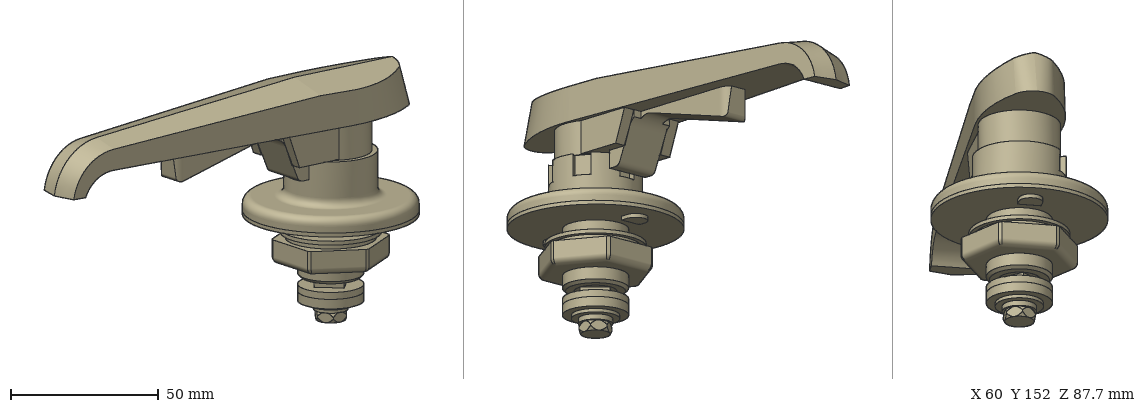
import cadquery as cq
import math


RIDGE_Z = 50.6
HANDLE_UNDERSIDE_Z = 34.5
TIP_Z = 26.8
BOSS_TOP_Z = 22.5
SLOT_FLOOR_Z = 14.7
FLANGE_TOP_Z = 6.5
GASKET_TOP_Z = 1.4
WASHER_TOP_Z = -5.0
COLLAR_TOP_Z = -6.4
NUT_TOP_Z = -8.2
NUT_BOTTOM_Z = -16.5
SLEEVE_BOTTOM_Z = -21.9
UPPER_DISC_TOP_Z = -24.6
LOWER_DISC_TOP_Z = -27.0
SCREW_TOP_Z = -30.4
SCREW_RIM_BOTTOM_Z = -31.6
HEX_TOP_Z = -33.5
HEX_BOTTOM_Z = -37.1

HANDLE_LENGTH = 152.0
HANDLE_BACK_Y = 31.9
HANDLE_TIP_Y = HANDLE_BACK_Y - HANDLE_LENGTH
TIP_HALF_WIDTH = 7.9
SIDE_TAPER = 0.059
BACK_LEAN = 5.2
NOSE_HALF_WIDTH = 6.7
LOWER_NOSE_Y = 28.3
UPPER_NOSE_Y = 24.0
LOWER_SHOULDER_Y = -2.6
UPPER_SHOULDER_Y = -3.5
ROOF_SLOPE = 0.25
ROOF_WIDTH = 22.8
ROOF_DEPTH = 19.0
RIDGE_BEND_Y = -15.8
TIP_BEND_Y = -101.7
RIDGE_FALL = 0.075
TIP_BEND_Z = RIDGE_Z - RIDGE_FALL * (RIDGE_BEND_Y - TIP_BEND_Y)
FALL_ANGLE = math.atan(RIDGE_FALL)
TIP_INNER_Y = -113.1
NECK_RADIUS = 14.0
CHEEK_HALF_WIDTH = 12.5
CHEEK_CLEARANCE = 0.3
CHEEK_TOP_Y = -28.0
CHEEK_BOTTOM_Y = -23.5
SPINDLE_RADIUS = 14.5 / 2

HOOK_HALF_WIDTH = 8.2
HOOK_BOTTOM_Z = 16.4
HOOK_FRONT = (-20.4, HOOK_BOTTOM_Z)
HOOK_ROUND = 2.5
TRIGGER_NOTCH = (-28.1, 34.2)
NOTCH_ROUND = 6.1
BUTTON_HALF_WIDTH = 5.0
BUTTON_TOP_Y = -71.3
BUTTON_BOTTOM = (-70.2, 23.5)
BUTTON_BOTTOM_ROUND = 1.5
BUTTON_ROUND_Y = -67.3

FLANGE_RADIUS = 60.0 / 2
FLANGE_ROUND = 3.0
BOSS_RADIUS = 16.0
BOSS_ROUND = 3.0
SLEEVE_RADIUS = 11.2
SLEEVE_CHAMFER = 1.0
SLOT_WIDTH = 6.4
SLOT_DEPTH = 2.6
SLOT_ANGLES = (150, 210, 270)

LUG_HALF_WIDTH = 4.1
LUG_INNER_Y = 17.5
LUG_CENTRE_Y = 20.0
LUG_HEIGHT = 1.4

WASHER_RADIUS = 17.2
COLLAR_RADIUS = 15.5
NUT_ACROSS_FLATS = 35.3
NUT_EDGE_CHAMFER = 0.8
NUT_BOTTOM_ROUND = 2.3
DISC_RADIUS = 11.2
SCREW_RIM_RADIUS = 8.2
SCREW_NECK_RADIUS = 11.7 / 2
HEX_ACROSS_FLATS = 10.0
HEX_TURN = 30
HEX_TURNED_RADIUS = 5.0
HEX_TURNED_HEIGHT = 1.7


def cylinder(radius, bottom, top):
    return cq.Workplane("XY", origin=(0, 0, bottom)).circle(radius).extrude(top - bottom)


def ring(outer_radius, inner_radius, bottom, top):
    sketch = cq.Workplane("XY", origin=(0, 0, bottom)).circle(outer_radius).circle(inner_radius)
    return sketch.extrude(top - bottom)


def hexagon_prism(across_flats, bottom, top):
    across_corners = across_flats / math.cos(math.radians(30))
    return cq.Workplane("XY", origin=(0, 0, bottom)).polygon(6, across_corners).extrude(top - bottom)


def square_spindle(bottom, top):
    """Square bar with its corners on the X and Y axes, on the spindle's radius."""
    return cq.Workplane("XY", origin=(0, 0, bottom)).polygon(4, 2 * SPINDLE_RADIUS).extrude(top - bottom)


def half_width(y):
    return TIP_HALF_WIDTH + SIDE_TAPER * (y - HANDLE_TIP_Y)


def half_plan(workplane, back_y, nose_y, shoulder_y):
    """Right half of the handle seen in plan: tapered side, curved flank and round back end."""
    sagitta = back_y - nose_y
    nose_radius = (NOSE_HALF_WIDTH**2 + sagitta**2) / (2 * sagitta)
    half_angle = math.asin(NOSE_HALF_WIDTH / nose_radius) / 2
    nose_middle = (
        nose_radius * math.sin(half_angle),
        back_y - nose_radius * (1 - math.cos(half_angle)),
    )
    return (
        workplane.moveTo(0, HANDLE_TIP_Y)
        .lineTo(TIP_HALF_WIDTH, HANDLE_TIP_Y)
        .lineTo(half_width(shoulder_y), shoulder_y)
        .tangentArcPoint((NOSE_HALF_WIDTH, nose_y), relative=False)
        .threePointArc(nose_middle, (0, back_y))
        .close()
    )


def make_half_plan_solid():
    """Half of the handle's plan, from the tip up to the ridge, leaning forward at the back."""
    lower = half_plan(
        cq.Workplane("XY", origin=(0, 0, HANDLE_UNDERSIDE_Z)),
        back_y=HANDLE_BACK_Y, nose_y=LOWER_NOSE_Y, shoulder_y=LOWER_SHOULDER_Y,
    )
    upper = half_plan(
        lower.workplane(offset=RIDGE_Z - HANDLE_UNDERSIDE_Z),
        back_y=HANDLE_BACK_Y - BACK_LEAN, nose_y=UPPER_NOSE_Y, shoulder_y=UPPER_SHOULDER_Y,
    )
    body = upper.loft(ruled=True, combine=True)
    tip = (
        cq.Workplane("XY", origin=(0, 0, TIP_Z))
        .polyline([
            (0, HANDLE_TIP_Y),
            (TIP_HALF_WIDTH, HANDLE_TIP_Y),
            (half_width(TIP_BEND_Y), TIP_BEND_Y),
            (0, TIP_BEND_Y),
        ])
        .close()
        .extrude(HANDLE_UNDERSIDE_Z - TIP_Z)
    )
    return body.union(tip)


def tip_arc():
    """Centre and radius of the arc that leaves the falling ridge smoothly and ends at the tip."""
    chord_y = TIP_BEND_Y - HANDLE_TIP_Y
    chord_z = TIP_BEND_Z - TIP_Z
    reach = chord_z * math.cos(FALL_ANGLE) - chord_y * math.sin(FALL_ANGLE)
    radius = (chord_y**2 + chord_z**2) / (2 * reach)
    centre_y = TIP_BEND_Y + radius * math.sin(FALL_ANGLE)
    centre_z = TIP_BEND_Z - radius * math.cos(FALL_ANGLE)
    return centre_y, centre_z, radius


def make_side_profile():
    """Side shape of the handle, from flat underside to curled tip, wider than the handle."""
    drop = HANDLE_UNDERSIDE_Z - TIP_Z
    reach = TIP_BEND_Y - TIP_INNER_Y
    inner_radius = (drop**2 + reach**2) / (2 * drop)
    half_angle = math.asin(reach / inner_radius) / 2
    inner_middle = (
        TIP_BEND_Y - inner_radius * math.sin(half_angle),
        HANDLE_UNDERSIDE_Z - inner_radius * (1 - math.cos(half_angle)),
    )
    return (
        cq.Workplane("YZ")
        .moveTo(HANDLE_BACK_Y, HANDLE_UNDERSIDE_Z)
        .lineTo(TIP_BEND_Y, HANDLE_UNDERSIDE_Z)
        .threePointArc(inner_middle, (TIP_INNER_Y, TIP_Z))
        .lineTo(HANDLE_TIP_Y, TIP_Z)
        .lineTo(HANDLE_TIP_Y, RIDGE_Z)
        .lineTo(HANDLE_BACK_Y, RIDGE_Z)
        .close()
        .extrude(ROOF_WIDTH)
    )


def make_half_roof():
    """Sloping half roof that follows the ridge: level, falling, then curled down at the tip."""
    centre_y, centre_z, radius = tip_arc()
    end_angle = math.atan2(TIP_Z - centre_z, HANDLE_TIP_Y - centre_y) % (2 * math.pi)
    start_angle = math.pi / 2 + FALL_ANGLE
    middle_angle = (start_angle + end_angle) / 2
    tip_middle = (centre_y + radius * math.cos(middle_angle), centre_z + radius * math.sin(middle_angle))
    ridge = (
        cq.Workplane("YZ")
        .moveTo(HANDLE_BACK_Y, RIDGE_Z)
        .lineTo(RIDGE_BEND_Y, RIDGE_Z)
        .lineTo(TIP_BEND_Y, TIP_BEND_Z)
        .threePointArc(tip_middle, (HANDLE_TIP_Y, TIP_Z))
    )
    section = (
        cq.Workplane("XZ", origin=(0, HANDLE_BACK_Y, RIDGE_Z))
        .polyline([
            (0, 0),
            (ROOF_WIDTH, -ROOF_SLOPE * ROOF_WIDTH),
            (ROOF_WIDTH, -ROOF_DEPTH),
            (0, -ROOF_DEPTH),
        ])
        .close()
    )
    return section.sweep(ridge, transition="right")


def make_neck():
    """Round neck with two cheeks that straddle the trigger's hook."""
    neck = cylinder(NECK_RADIUS, BOSS_TOP_Z, HANDLE_UNDERSIDE_Z)
    cheek_bottom = BOSS_TOP_Z + CHEEK_CLEARANCE
    cheeks = (
        cq.Workplane("YZ", origin=(-CHEEK_HALF_WIDTH, 0, 0))
        .polyline([
            (0, HANDLE_UNDERSIDE_Z),
            (0, cheek_bottom),
            (CHEEK_BOTTOM_Y, cheek_bottom),
            (CHEEK_TOP_Y, HANDLE_UNDERSIDE_Z),
        ])
        .close()
        .extrude(2 * CHEEK_HALF_WIDTH)
    )
    hook_gap = cq.Workplane("XY").box(
        2 * HOOK_HALF_WIDTH, HANDLE_LENGTH, HANDLE_UNDERSIDE_Z, centered=(True, False, False)
    ).translate((0, -HANDLE_LENGTH - BOSS_RADIUS, 0))
    return neck.union(cheeks).cut(hook_gap)


def make_handle():
    half = make_half_plan_solid().intersect(make_side_profile()).intersect(make_half_roof())
    grip = half.union(half.mirror("YZ"))
    spindle = cylinder(SPINDLE_RADIUS, SLEEVE_BOTTOM_Z, BOSS_TOP_Z)
    square_end = square_spindle(SCREW_TOP_Z, SLEEVE_BOTTOM_Z)
    return grip.union(make_neck()).union(spindle).union(square_end)


def make_trigger_plan():
    """Tall prism of the hook's full width up to the notch, then the narrower button with a round end."""
    notch_y = TRIGGER_NOTCH[0]
    hook = cq.Workplane("XY").box(
        2 * HOOK_HALF_WIDTH, -notch_y, HANDLE_UNDERSIDE_Z, centered=(True, False, False)
    ).translate((0, notch_y, 0))
    button = (
        cq.Workplane("XY")
        .moveTo(BUTTON_HALF_WIDTH, notch_y)
        .lineTo(BUTTON_HALF_WIDTH, BUTTON_ROUND_Y)
        .threePointArc((0, BUTTON_ROUND_Y - BUTTON_HALF_WIDTH), (-BUTTON_HALF_WIDTH, BUTTON_ROUND_Y))
        .lineTo(-BUTTON_HALF_WIDTH, notch_y)
        .close()
        .extrude(HANDLE_UNDERSIDE_Z)
    )
    return hook.union(button)


def make_trigger():
    """Hook behind the finger notch and a narrower push button in front of it."""
    trigger = (
        cq.Workplane("YZ", origin=(-HOOK_HALF_WIDTH, 0, 0))
        .polyline([
            (-BOSS_RADIUS, HANDLE_UNDERSIDE_Z),
            (-BOSS_RADIUS, HOOK_BOTTOM_Z),
            HOOK_FRONT,
            TRIGGER_NOTCH,
            BUTTON_BOTTOM,
            (BUTTON_TOP_Y, HANDLE_UNDERSIDE_Z),
        ])
        .close()
        .extrude(2 * HOOK_HALF_WIDTH)
    )
    rounds = [
        (HOOK_FRONT, HOOK_ROUND),
        (TRIGGER_NOTCH, NOTCH_ROUND),
        (BUTTON_BOTTOM, BUTTON_BOTTOM_ROUND),
    ]
    for (corner_y, corner_z), radius in rounds:
        corner = cq.selectors.NearestToPointSelector((0, corner_y, corner_z))
        trigger = trigger.edges("|X").edges(corner).fillet(radius)
    return trigger.intersect(make_trigger_plan())


def make_housing():
    """Flange with a slotted boss above it and a sleeve below it, bored for the spindle."""
    flange = cylinder(FLANGE_RADIUS, GASKET_TOP_Z, FLANGE_TOP_Z)
    upper = flange.union(cylinder(BOSS_RADIUS, FLANGE_TOP_Z, BOSS_TOP_Z))
    narrowest = cq.selectors.RadiusNthSelector(0)
    widest = cq.selectors.RadiusNthSelector(-1)
    upper = upper.edges("%CIRCLE").edges(narrowest).edges("<Z").fillet(BOSS_ROUND)
    upper = upper.edges("%CIRCLE").edges(widest).edges(">Z").fillet(FLANGE_ROUND)
    sleeve = cylinder(SLEEVE_RADIUS, SLEEVE_BOTTOM_Z, GASKET_TOP_Z).faces("<Z").chamfer(SLEEVE_CHAMFER)
    housing = upper.union(sleeve).cut(cylinder(SPINDLE_RADIUS, SLEEVE_BOTTOM_Z, BOSS_TOP_Z))
    for angle in SLOT_ANGLES:
        slot = cq.Workplane("XY").box(
            2 * SLOT_DEPTH, SLOT_WIDTH, BOSS_TOP_Z - SLOT_FLOOR_Z, centered=(True, True, False)
        ).translate((BOSS_RADIUS, 0, SLOT_FLOOR_Z)).rotate((0, 0, 0), (0, 0, 1), angle)
        housing = housing.cut(slot)
    return housing


def make_gasket():
    """Flat ring with two U-shaped lugs on its underside, round ends outward."""
    gasket = ring(FLANGE_RADIUS, SLEEVE_RADIUS, 0, GASKET_TOP_Z)
    for turn in (0, 180):
        lug = (
            cq.Workplane("XY")
            .moveTo(-LUG_HALF_WIDTH, LUG_INNER_Y)
            .lineTo(LUG_HALF_WIDTH, LUG_INNER_Y)
            .lineTo(LUG_HALF_WIDTH, LUG_CENTRE_Y)
            .threePointArc((0, LUG_CENTRE_Y + LUG_HALF_WIDTH), (-LUG_HALF_WIDTH, LUG_CENTRE_Y))
            .close()
            .extrude(-LUG_HEIGHT)
        )
        gasket = gasket.union(lug.rotate((0, 0, 0), (0, 0, 1), turn))
    return gasket


def make_nut():
    """Hexagon nut with a round collar on top."""
    hexagon = hexagon_prism(NUT_ACROSS_FLATS, NUT_BOTTOM_Z, NUT_TOP_Z)
    hexagon = hexagon.edges("|Z").chamfer(NUT_EDGE_CHAMFER).faces("<Z").edges().fillet(NUT_BOTTOM_ROUND)
    nut = hexagon.union(cylinder(COLLAR_RADIUS, NUT_TOP_Z, COLLAR_TOP_Z))
    return nut.cut(cylinder(SLEEVE_RADIUS, NUT_BOTTOM_Z, COLLAR_TOP_Z))


def make_disc(bottom, top):
    """Disc with a square hole that fits the end of the spindle."""
    return cylinder(DISC_RADIUS, bottom, top).cut(square_spindle(bottom, top))


def make_screw():
    """Screw head: wide rim, narrower neck and a hexagon with turned corners at both ends."""
    rim = cylinder(SCREW_RIM_RADIUS, SCREW_RIM_BOTTOM_Z, SCREW_TOP_Z)
    neck = cylinder(SCREW_NECK_RADIUS, HEX_TOP_Z, SCREW_RIM_BOTTOM_Z)
    hexagon = hexagon_prism(HEX_ACROSS_FLATS, HEX_BOTTOM_Z, HEX_TOP_Z)
    hexagon = hexagon.rotate((0, 0, 0), (0, 0, 1), HEX_TURN)
    turned_blank = (
        cq.Workplane("XZ")
        .polyline([
            (0, HEX_BOTTOM_Z),
            (HEX_TURNED_RADIUS, HEX_BOTTOM_Z),
            (SCREW_NECK_RADIUS, HEX_BOTTOM_Z + HEX_TURNED_HEIGHT),
            (SCREW_NECK_RADIUS, HEX_TOP_Z - HEX_TURNED_HEIGHT),
            (HEX_TURNED_RADIUS, HEX_TOP_Z),
            (0, HEX_TOP_Z),
        ])
        .close()
        .revolve(360, (0, 0, 0), (0, 1, 0))
    )
    return rim.union(neck).union(hexagon.intersect(turned_blank))


handle = make_handle()
trigger = make_trigger()
housing = make_housing()
gasket = make_gasket()
washer = ring(WASHER_RADIUS, SLEEVE_RADIUS, COLLAR_TOP_Z, WASHER_TOP_Z)
nut = make_nut()
upper_disc = make_disc(LOWER_DISC_TOP_Z, UPPER_DISC_TOP_Z)
lower_disc = make_disc(SCREW_TOP_Z, LOWER_DISC_TOP_Z)
screw = make_screw()

result = cq.Compound.makeCompound([
    handle.val(),
    trigger.val(),
    housing.val(),
    gasket.val(),
    washer.val(),
    nut.val(),
    upper_disc.val(),
    lower_disc.val(),
    screw.val(),
])